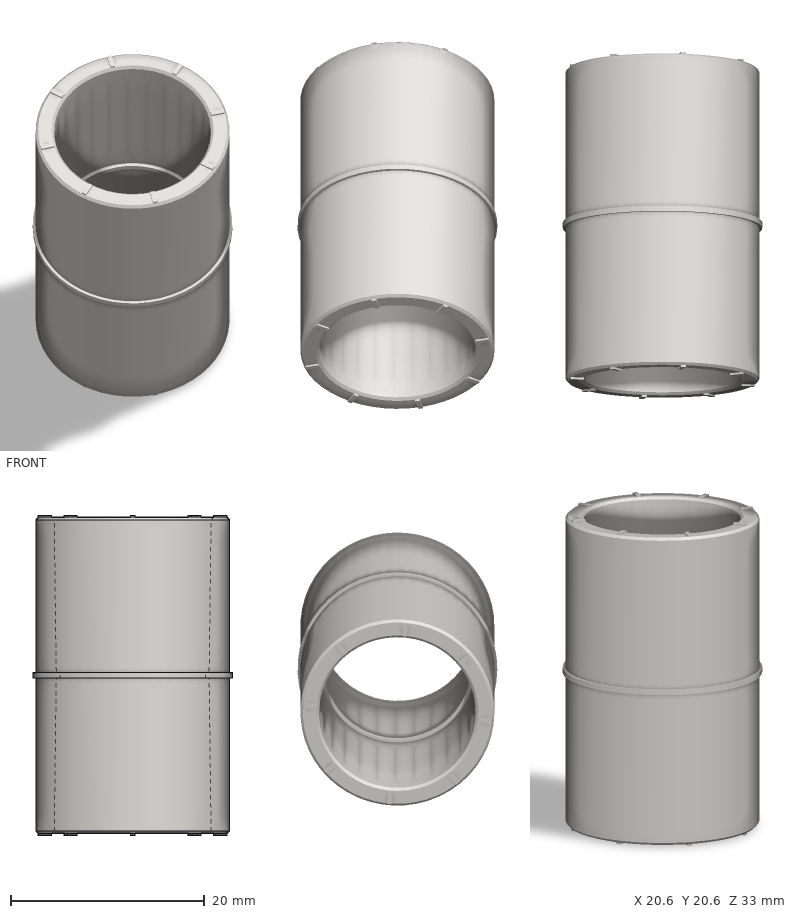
import cadquery as cq

total_length = 33.0
collar_diameter = 20.6

body_diameter = 20.0
rib_height = 0.2
edge_chamfer = 0.25
body_length = total_length - 2 * rib_height

socket_mouth_diameter = 16.17
socket_bottom_diameter = 15.77
stop_diameter = 15.0

ring_height = 0.55

rib_width = 0.5
rib_count = 8
face_outer_radius = body_diameter / 2 - edge_chamfer
face_inner_radius = socket_mouth_diameter / 2 + edge_chamfer


def half_section():
    """Radial section (radius, height) of the sleeve with its collar and stop ring."""
    end_z = body_length / 2
    chamfer_z = end_z - edge_chamfer
    ring_z = ring_height / 2
    body_radius = body_diameter / 2
    collar_radius = collar_diameter / 2
    mouth_radius = socket_mouth_diameter / 2
    bottom_radius = socket_bottom_diameter / 2
    stop_radius = stop_diameter / 2
    upper_half = [
        (collar_radius, ring_z),
        (body_radius, ring_z),
        (body_radius, chamfer_z),
        (face_outer_radius, end_z),
        (face_inner_radius, end_z),
        (mouth_radius, chamfer_z),
        (bottom_radius, ring_z),
        (stop_radius, ring_z),
    ]
    lower_half = [(radius, -z) for radius, z in reversed(upper_half)]
    return upper_half + lower_half


def make_sleeve():
    return cq.Workplane("XZ").polyline(half_section()).close().revolve(360, (0, 0), (0, 1))


def make_ribs():
    """Radial bars running through the wall so both ends stand proud of the end faces."""
    bar_length = face_outer_radius - face_inner_radius
    return (
        cq.Workplane("XY")
        .polarArray((face_outer_radius + face_inner_radius) / 2, 0, 360, rib_count)
        .rect(bar_length, rib_width)
        .extrude(total_length / 2, both=True)
    )


result = make_sleeve().union(make_ribs())